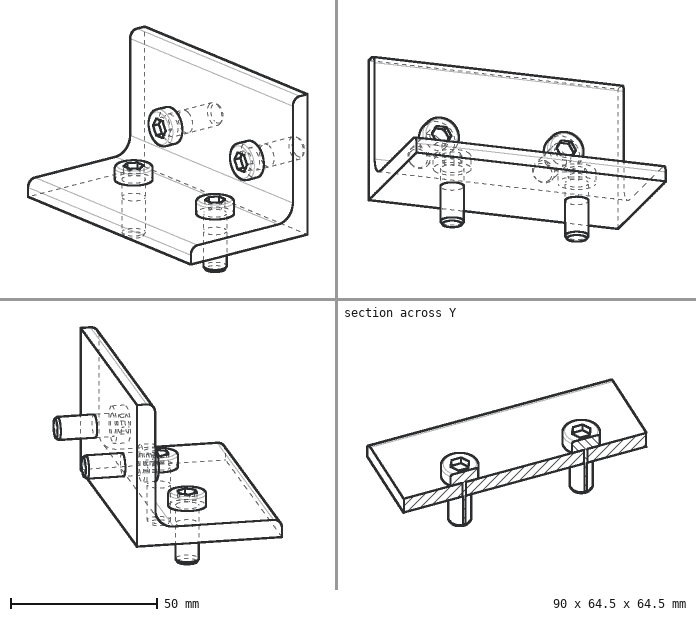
import cadquery as cq

bracket_length = 90.0
leg_length = 50.8
leg_thickness = 6.4
root_radius = leg_thickness
toe_radius = 3.0

shank_diameter = 8.0
shank_projection = 13.7
shank_length = leg_thickness + shank_projection
tip_chamfer_length = 1.0
tip_chamfer_depth = 0.6
head_diameter = 13.0
head_height = 4.95
head_edge_radius = 0.8
socket_across_flats = 6.0
socket_depth = 2.5
socket_turn = 30.0

screw_positions_x = [bracket_length / 4, bracket_length * 3 / 4]
screw_offset = 22.5

floor_seats = [
    cq.Plane(origin=(x, -screw_offset, leg_thickness), xDir=(1, 0, 0), normal=(0, 0, 1))
    for x in screw_positions_x
]
wall_seats = [
    cq.Plane(origin=(x, -leg_thickness, screw_offset), xDir=(1, 0, 0), normal=(0, -1, 0))
    for x in screw_positions_x
]
seats = floor_seats + wall_seats


def make_angle_profile():
    """L-shaped section, extruded along X, with a rounded root and rounded toes."""
    angle = (
        cq.Workplane("YZ")
        .polyline([
            (0, 0),
            (-leg_length, 0),
            (-leg_length, leg_thickness),
            (-leg_thickness, leg_thickness),
            (-leg_thickness, leg_length),
            (0, leg_length),
        ])
        .close()
        .extrude(bracket_length)
    )
    middle_x = bracket_length / 2
    root = cq.selectors.NearestToPointSelector((middle_x, -leg_thickness, leg_thickness))
    floor_toe = cq.selectors.NearestToPointSelector((middle_x, -leg_length, leg_thickness))
    wall_toe = cq.selectors.NearestToPointSelector((middle_x, -leg_thickness, leg_length))
    angle = angle.edges(root).fillet(root_radius)
    return angle.edges(floor_toe + wall_toe).fillet(toe_radius)


def make_bracket():
    """Angle profile with a close-fitting through hole for each screw."""
    bracket = make_angle_profile()
    for seat in seats:
        hole = cq.Workplane(seat).circle(shank_diameter / 2).extrude(-leg_thickness)
        bracket = bracket.cut(hole)
    return bracket


def make_screw(seat):
    """Socket-head screw whose head rests on the seat plane."""
    head = (
        cq.Workplane(seat)
        .circle(head_diameter / 2)
        .extrude(head_height)
        .faces(cq.selectors.DirectionMinMaxSelector(seat.zDir))
        .edges()
        .fillet(head_edge_radius)
    )
    shank_radius = shank_diameter / 2
    section_plane = cq.Plane(origin=seat.origin, xDir=seat.xDir, normal=-seat.yDir)
    shank = (
        cq.Workplane(section_plane)
        .polyline([
            (0, 0),
            (shank_radius, 0),
            (shank_radius, -shank_length + tip_chamfer_length),
            (shank_radius - tip_chamfer_depth, -shank_length),
            (0, -shank_length),
        ])
        .close()
        .revolve(360, (0, 0), (0, 1))
    )
    socket = (
        cq.Workplane(seat)
        .transformed(offset=(0, 0, head_height), rotate=(0, 0, socket_turn))
        .polygon(6, socket_across_flats, circumscribed=True)
        .extrude(-socket_depth)
    )
    return head.union(shank).cut(socket)


bracket = make_bracket()
screws = [make_screw(seat) for seat in seats]

result = cq.Compound.makeCompound([bracket.val(), *[screw.val() for screw in screws]])